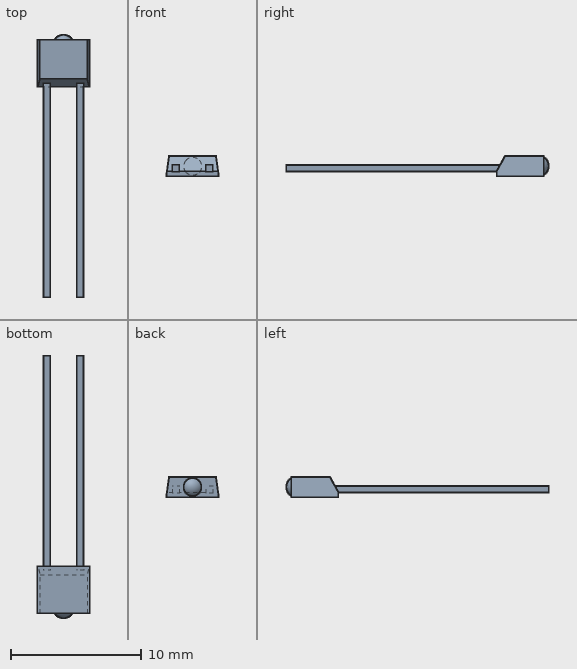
import cadquery as cq

total_length = 20.2
body_bottom_width = 4.05
body_top_width = 3.61
body_height = 1.57
body_depth = 3.63

front_lip_height = 0.38
front_slope_run = 0.65

lens_height = 0.38
lens_base_radius = 0.69

lead_width = 0.55
lead_height = 0.5
lead_bottom = 0.36
lead_pitch = 2.55
lead_embed = front_slope_run

lens_tip_y = total_length
body_back_y = lens_tip_y - lens_height
body_front_y = body_back_y - body_depth


def make_body():
    """Trapezoidal block whose front face slopes back above a short lip."""
    half_bottom = body_bottom_width / 2
    half_top = body_top_width / 2
    block = (
        cq.Workplane("XZ", origin=(0, body_back_y, 0))
        .polyline([
            (-half_bottom, 0),
            (half_bottom, 0),
            (half_top, body_height),
            (-half_top, body_height),
        ])
        .close()
        .extrude(body_depth)
    )
    side_profile = (
        cq.Workplane("YZ")
        .polyline([
            (body_front_y, 0),
            (body_back_y, 0),
            (body_back_y, body_height),
            (body_front_y + front_slope_run, body_height),
            (body_front_y, front_lip_height),
        ])
        .close()
        .extrude(half_bottom, both=True)
    )
    return block.intersect(side_profile)


def make_lens():
    """Spherical cap standing on the back face, centred on its height."""
    sphere_radius = (lens_base_radius**2 + lens_height**2) / (2 * lens_height)
    sphere_center = (0, lens_tip_y - sphere_radius, body_height / 2)
    sphere = cq.Workplane("XY").sphere(sphere_radius).translate(sphere_center)
    cap_space = (
        cq.Workplane("XZ", origin=(0, body_back_y, body_height / 2))
        .circle(sphere_radius)
        .extrude(-lens_height)
    )
    return sphere.intersect(cap_space)


def make_lead(center_x):
    """Straight rectangular lead running from inside the body to its tip."""
    return cq.Workplane("XY").box(
        lead_width, body_front_y + lead_embed, lead_height, centered=(True, False, False)
    ).translate((center_x, 0, lead_bottom))


result = make_body().union(make_lens())
for side in (-1, 1):
    result = result.union(make_lead(side * lead_pitch / 2))